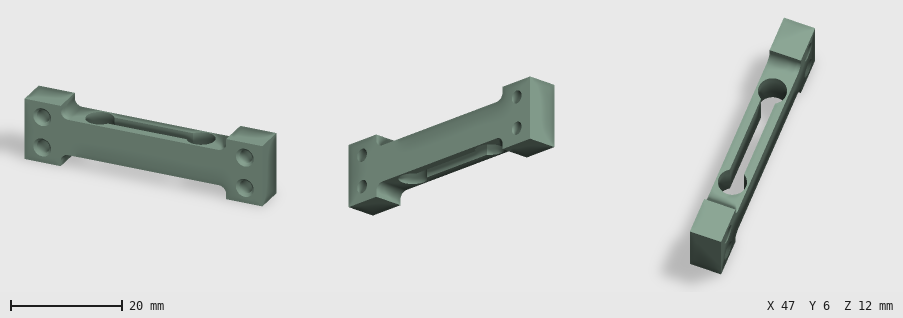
import cadquery as cq

length = 47.0
thickness = 6.0
height = 12.0

end_block_length = 7.15
beam_height = 7.0
relief_radius = 1.5

hole_diameter = 2.5
countersink_diameter = 3.52
countersink_angle = 90
hole_spacing_x = 40.05
hole_spacing_z = 6.0

bore_diameter = 5.2
bore_spacing = 20.0
slot_width = 2.73


def edge_relief(side):
    """Recess along the upper (side = 1) or lower (side = -1) edge, rounded at its inner corners."""
    recess_length = length - 2 * end_block_length
    recess_depth = (height - beam_height) / 2
    inner_face = "<Z" if side > 0 else ">Z"
    return (
        cq.Workplane("XY")
        .box(recess_length, thickness, recess_depth)
        .faces(inner_face)
        .edges("|Y")
        .fillet(relief_radius)
        .translate((0, 0, side * (beam_height + recess_depth) / 2))
    )


def dumbbell_opening():
    """Two vertical bores joined by a narrower slot."""
    bores = (
        cq.Workplane("XY")
        .pushPoints([(-bore_spacing / 2, 0), (bore_spacing / 2, 0)])
        .circle(bore_diameter / 2)
        .extrude(height, both=True)
    )
    slot = cq.Workplane("XY").box(bore_spacing, slot_width, 2 * height)
    return bores.union(slot)


body = cq.Workplane("XY").box(length, thickness, height)
for side in (1, -1):
    body = body.cut(edge_relief(side))
body = body.cut(dumbbell_opening())

result = (
    body.faces("<Y")
    .workplane(centerOption="CenterOfBoundBox")
    .rarray(hole_spacing_x, hole_spacing_z, 2, 2)
    .cskHole(hole_diameter, countersink_diameter, countersink_angle)
)